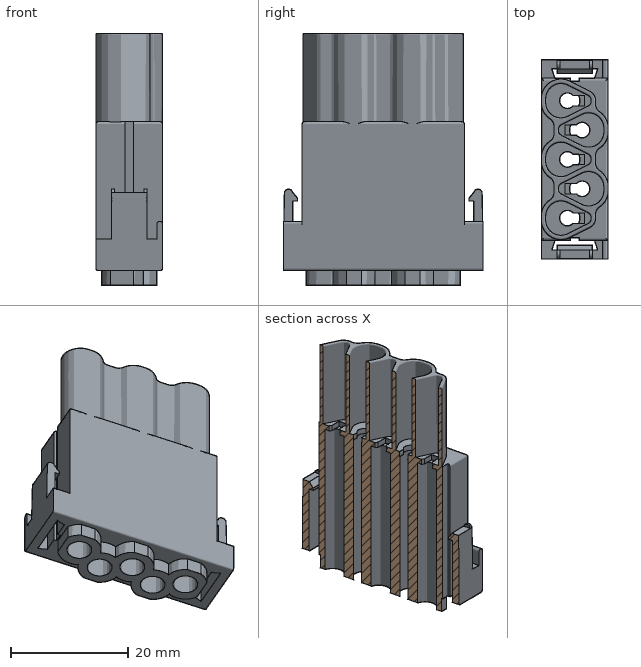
import cadquery as cq
import math


WIDTH = 11.4
FLANGE_LENGTH = 34.0
BODY_LENGTH = 27.7
HEIGHT = 42.9

FLANGE_BOTTOM = 2.5
FLANGE_TOP = 7.9
LIP_TOP = 10.9
SHOULDER = 27.9

PITCH = 5.0
POLE_COUNT = 5

WALL = 0.75
HEAD_RADIUS = 3.35
HEAD_FLAT = 0.65
TIP_BORE_DIAMETER = 2.1
TIP_RADIUS = TIP_BORE_DIAMETER / 2 + WALL
HEAD_X = HEAD_RADIUS - WIDTH / 2
TIP_X = 1.75
VALLEY_FILLET = 1.4
RIM_FILLET = 0.25
SELECT_MARGIN = 0.1

CONTACT_X = -1.25
CONTACT_DIAMETER = 2.6
REAR_BORE_DIAMETER = 4.2
SLOT_WIDTH = 1.75
SLOT_END_X = 1.7
FLOOR_THICKNESS = 1.0

STUB_RADIUS = 3.7
STUB_WIDTH = 9.45
STUB_LENGTH = 26.25

SHOULDER_FILLET = 0.5
FLANGE_FILLET = 0.4
LIP_THICKNESS = 1.0
GROOVE_WIDTH = 1.5
GROOVE_DEPTH = 0.5

LATCH_WIDTH = 6.0
LATCH_INNER_Y = 15.4
LATCH_TOP = 16.4
LATCH_TAPER = 0.15
HOOK_REACH = 0.8
HOOK_BOTTOM = 14.35
HOOK_LIP = 0.5
NOTCH_WIDTH = 5.1
CREST_HEIGHT = 0.55
WINDOW_OUTER_WIDTH = 7.75
WINDOW_INNER_WIDTH = 6.75


def box(x_min, x_max, y_min, y_max, z_min, z_max):
    """Box given by its limits."""
    size = (x_max - x_min, y_max - y_min, z_max - z_min)
    return cq.Workplane("XY").box(*size, centered=False).translate((x_min, y_min, z_min))


def teardrop(inset, z_min, z_max):
    """Teardrop prism with its head towards -X: flat, head arcs, tangent sides and tip arc."""
    head_radius = HEAD_RADIUS - inset
    tip_radius = TIP_RADIUS - inset
    head_y = HEAD_FLAT / 2
    run = TIP_X - HEAD_X
    tilt = math.asin((head_radius - tip_radius) / math.hypot(run, head_y)) + math.atan2(head_y, run)

    def on_head(angle):
        return (HEAD_X + head_radius * math.sin(angle), head_y + head_radius * math.cos(angle))

    def mirrored(point):
        return (point[0], -point[1])

    head_start = on_head(-math.pi / 2)
    head_middle = on_head((tilt - math.pi / 2) / 2)
    head_end = on_head(tilt)
    tip_start = (TIP_X + tip_radius * math.sin(tilt), tip_radius * math.cos(tilt))
    return (
        cq.Workplane("XY", origin=(0, 0, z_min))
        .moveTo(*head_start)
        .threePointArc(head_middle, head_end)
        .lineTo(*tip_start)
        .threePointArc((TIP_X + tip_radius, 0), mirrored(tip_start))
        .lineTo(*mirrored(head_end))
        .threePointArc(mirrored(head_middle), mirrored(head_start))
        .close()
        .extrude(z_max - z_min)
    )


def at_each_pole(shape):
    """Union of copies at all poles; every second copy is turned with its head towards +X."""
    copies = cq.Workplane("XY")
    for index in range(POLE_COUNT):
        turned = shape.rotate((0, 0, 0), (0, 0, 1), 180 * (index % 2))
        y = (index - (POLE_COUNT - 1) / 2) * PITCH
        copies = copies.union(turned.translate((0, y, 0)))
    return copies


def make_body():
    """Block with a rounded shoulder, standing on a flange with a round-topped lip along its +X side."""
    half_width = WIDTH / 2
    half_body = BODY_LENGTH / 2
    half_flange = FLANGE_LENGTH / 2
    lip_radius = LIP_THICKNESS / 2
    lip_x = half_width - lip_radius
    lip_shoulder = LIP_TOP - lip_radius
    flange = box(-half_width, half_width, -half_flange, half_flange, FLANGE_BOTTOM, FLANGE_TOP)
    flange = flange.faces("<Z").edges("|Y").fillet(FLANGE_FILLET)
    lip = (
        cq.Workplane("XZ")
        .moveTo(lip_x - lip_radius, FLANGE_TOP)
        .lineTo(lip_x - lip_radius, lip_shoulder)
        .threePointArc((lip_x, LIP_TOP), (half_width, lip_shoulder))
        .lineTo(half_width, FLANGE_TOP)
        .close()
        .extrude(half_flange, both=True)
    )
    block = box(-half_width, half_width, -half_body, half_body, FLANGE_TOP, SHOULDER)
    block = block.faces(">Z").edges().fillet(SHOULDER_FILLET)
    return flange.union(lip).union(block)


def make_tubes():
    """Teardrop tubes with filled, rounded valleys beside the tips and rounded rims."""
    z_min = SHOULDER - SHOULDER_FILLET
    last_pole_y = (POLE_COUNT - 1) / 2 * PITCH
    tip_end = TIP_X + TIP_RADIUS
    web = box(-tip_end, tip_end, -last_pole_y, last_pole_y, z_min, HEIGHT)
    tubes = at_each_pole(teardrop(0, z_min, HEIGHT)).union(web)
    for x in (-tip_end, tip_end):
        valley_corners = cq.selectors.BoxSelector(
            (x - SELECT_MARGIN, SELECT_MARGIN - last_pole_y, z_min),
            (x + SELECT_MARGIN, last_pole_y - SELECT_MARGIN, HEIGHT),
        )
        tubes = tubes.edges("|Z").edges(valley_corners).fillet(VALLEY_FILLET)
    tubes = tubes.cut(at_each_pole(teardrop(WALL, SHOULDER, HEIGHT)))
    return tubes.faces(">Z").edges().fillet(RIM_FILLET)


def make_stubs():
    """Overlapping round stubs, trimmed flat at the outside of the cluster."""
    stub = cq.Workplane("XY").center(CONTACT_X, 0).circle(STUB_RADIUS).extrude(FLANGE_BOTTOM)
    trim = cq.Workplane("XY").rect(STUB_WIDTH, STUB_LENGTH).extrude(FLANGE_BOTTOM)
    return at_each_pole(stub).intersect(trim)


def make_contact_bore():
    """Rear bore, and the keyhole that opens it into the tube floor."""
    web_bottom = SHOULDER - FLOOR_THICKNESS
    rear = cq.Workplane("XY").center(CONTACT_X, 0).circle(REAR_BORE_DIAMETER / 2).extrude(web_bottom)
    hole = cq.Workplane("XY").center(CONTACT_X, 0).circle(CONTACT_DIAMETER / 2).extrude(SHOULDER)
    slot = box(CONTACT_X, SLOT_END_X, -SLOT_WIDTH / 2, SLOT_WIDTH / 2, web_bottom, SHOULDER)
    return rear.union(hole).union(slot)


def make_latch():
    """Latch of the +Y end: tapered arm, inward hook and a round crest that is notched in the middle."""
    outer_y = FLANGE_LENGTH / 2
    outer_top_y = outer_y - LATCH_TAPER
    nose_y = LATCH_INNER_Y - HOOK_REACH
    crest_bottom = LATCH_TOP - CREST_HEIGHT
    arm = (
        cq.Workplane("YZ")
        .moveTo(outer_y, FLANGE_TOP)
        .lineTo(LATCH_INNER_Y, FLANGE_TOP)
        .lineTo(LATCH_INNER_Y, HOOK_BOTTOM)
        .lineTo(nose_y, HOOK_BOTTOM)
        .lineTo(nose_y, HOOK_BOTTOM + HOOK_LIP)
        .lineTo(LATCH_INNER_Y, crest_bottom)
        .threePointArc(((LATCH_INNER_Y + outer_top_y) / 2, LATCH_TOP), (outer_top_y, crest_bottom))
        .close()
        .extrude(LATCH_WIDTH / 2, both=True)
    )
    notch = box(-NOTCH_WIDTH / 2, NOTCH_WIDTH / 2, nose_y, outer_y, crest_bottom, LATCH_TOP)
    return arm.cut(notch)


def make_end_opening():
    """Cut of the +Y end: window through the flange and groove up the body face."""
    body_y = BODY_LENGTH / 2
    window = (
        cq.Workplane("XY", origin=(0, 0, FLANGE_BOTTOM))
        .polyline([
            (-WINDOW_INNER_WIDTH / 2, body_y),
            (WINDOW_INNER_WIDTH / 2, body_y),
            (WINDOW_OUTER_WIDTH / 2, LATCH_INNER_Y),
            (-WINDOW_OUTER_WIDTH / 2, LATCH_INNER_Y),
        ])
        .close()
        .extrude(FLANGE_TOP - FLANGE_BOTTOM)
    )
    groove = box(-GROOVE_WIDTH / 2, GROOVE_WIDTH / 2, body_y - GROOVE_DEPTH, body_y, FLANGE_BOTTOM, SHOULDER)
    return window.union(groove)


def at_both_ends(shape):
    """The shape together with its mirror image at the -Y end."""
    return shape.union(shape.mirror("XZ"))


body = make_body().cut(at_both_ends(make_end_opening()))
result = (
    body.union(make_tubes())
    .union(make_stubs())
    .union(at_both_ends(make_latch()))
    .cut(at_each_pole(make_contact_bore()))
)